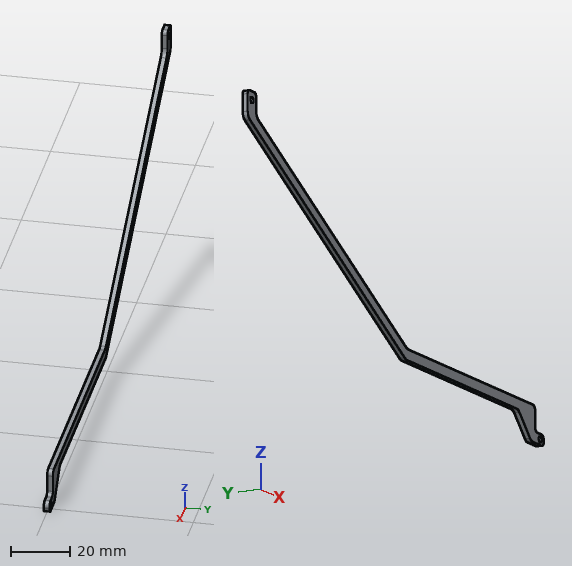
import cadquery as cq
import math

length = 207.0
height = 79.0
thickness = 2.0

strip_width = 4.0
bar_bottom = 9.1
bar_top = bar_bottom + strip_width
bend_x = 110.5
bend_round = 4.0
arm_angle = math.radians(28.7)

upper_tab_width = 6.0
upper_tab_corner = 1.5
upper_tab_fillet = 3.1

foot_wall_x = 201.0
foot_slope_start_x = 189.0
foot_slope_end_x = foot_slope_start_x + bar_bottom
foot_corner = 1.9
foot_slope_fillet = 3.0
lower_tab_height = 4.0
lower_tab_corner = 1.9
lower_tab_fillet = 1.5

hole_diameter = 2.0
upper_hole = (upper_tab_width / 2, height - 3.1)
lower_hole = (204.3, lower_tab_height / 2)

bend_inner_x = bend_x + strip_width * math.tan(arm_angle / 2)


def arm_height(x, bend_corner_x, bend_corner_z):
    """Height of an arm edge that leaves the given bend corner."""
    return bend_corner_z + (bend_corner_x - x) * math.tan(arm_angle)


corners = [
    (0, height, upper_tab_corner),
    (upper_tab_width, height, upper_tab_corner),
    (upper_tab_width, arm_height(upper_tab_width, bend_inner_x, bar_top), upper_tab_fillet),
    (bend_inner_x, bar_top, bend_round),
    (foot_wall_x, bar_top, foot_corner),
    (foot_wall_x, lower_tab_height, lower_tab_fillet),
    (length, lower_tab_height, lower_tab_corner),
    (length, 0, lower_tab_corner),
    (foot_slope_end_x, 0, foot_slope_fillet),
    (foot_slope_start_x, bar_bottom, foot_slope_fillet),
    (bend_x, bar_bottom, bend_round),
    (0, arm_height(0, bend_x, bar_bottom), upper_tab_fillet),
]


def make_plate():
    """Extrude the outline, centred on Y, and round its corners."""
    outline = [(x, z) for x, z, _ in corners]
    plate = cq.Workplane("XZ").polyline(outline).close().extrude(thickness / 2, both=True)
    for x, z, radius in corners:
        corner_edge = cq.selectors.NearestToPointSelector((x, 0, z))
        plate = plate.edges("|Y").edges(corner_edge).fillet(radius)
    return plate


def make_holes():
    """Cylinders that pass through both mounting tabs."""
    centers = [upper_hole, lower_hole]
    return cq.Workplane("XZ").pushPoints(centers).circle(hole_diameter / 2).extrude(thickness, both=True)


result = make_plate().cut(make_holes())